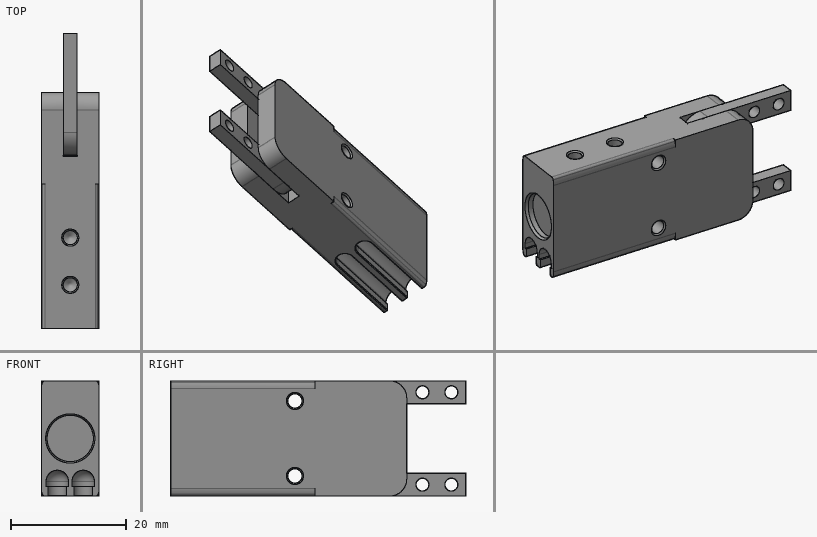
import cadquery as cq
import math

TOTAL_LENGTH = 51.1
WIDTH = 10.0
HEIGHT = 20.0
JAW_REACH = 10.2
HOUSING_LENGTH = TOTAL_LENGTH - JAW_REACH
REAR_Y = -TOTAL_LENGTH / 2
FRONT_Y = REAR_Y + HOUSING_LENGTH
JAW_TIP_Y = TOTAL_LENGTH / 2
FRONT_FILLET = 3.0

EASED_LENGTH = 25.0
EASE_SMALL_RADIUS = 0.5
EASE_WIDE_RADIUS = 3.0
EASE_BLEND_ANGLE = math.radians(20)

RECESS_DIAMETER = 8.0
RECESS_DEPTH = 1.5
RECESS_BEVEL_WIDTH = 0.25
RECESS_BEVEL_DEPTH = 0.5

HOLE_DIAMETER = 2.45
HOLE_CHAMFER = 0.25
SIDE_HOLE_REAR_DISTANCE = 21.5
SIDE_HOLE_Y = REAR_Y + SIDE_HOLE_REAR_DISTANCE
SIDE_HOLE_SPACING = 13.0
PORT_DEPTH = 4.0
PORT_POINT_ANGLE = 118.0
PORT_SPACING = 8.2
PORTS_REAR_DISTANCE = 11.65
PORT_MIDDLE_Y = REAR_Y + PORTS_REAR_DISTANCE

SLOT_OFFSET = 2.25
SLOT_LENGTH = 15.35
SLOT_NECK_WIDTH = 3.15
SLOT_HEAD_WIDTH = 3.9
SLOT_END_CENTRE = SLOT_LENGTH - SLOT_HEAD_WIDTH / 2
SLOT_DOME_START = 2.55
SLOT_SHOULDER = 1.65
SLOT_MOUTH_CHAMFER = 0.15
SLOT_MOUTH_ANGLE = 45.0

JAW_WIDTH = 2.4
JAW_HEIGHT = 4.0
JAW_LENGTH = 21.1
JAW_HOLE_DIAMETER = 2.2
JAW_HOLE_SPACING = 5.0
JAW_HOLE_COUNT = 2
JAW_HOLE_TIP_DISTANCE = 2.5
JAW_SLOT_END_GAP = 0.15


def housing_block():
    block = cq.Workplane("XY").box(WIDTH, HOUSING_LENGTH, HEIGHT)
    block = block.translate((0, (REAR_Y + FRONT_Y) / 2, 0))
    return block.faces(">Y").edges("|X").fillet(FRONT_FILLET)


def corner_waste():
    """Material outside the eased +X +Z edge, over the rear part of the housing."""

    def wide_arc_point(angle):
        return (
            WIDTH / 2 - EASE_WIDE_RADIUS * (1 - math.cos(angle)),
            side_end + EASE_WIDE_RADIUS * math.sin(angle),
        )

    def small_arc_point(angle):
        return (
            top_end + EASE_SMALL_RADIUS * math.cos(angle),
            HEIGHT / 2 - EASE_SMALL_RADIUS * (1 - math.sin(angle)),
        )

    radius_difference = EASE_WIDE_RADIUS - EASE_SMALL_RADIUS
    top_end = WIDTH / 2 - EASE_WIDE_RADIUS + radius_difference * math.cos(EASE_BLEND_ANGLE)
    side_end = HEIGHT / 2 - EASE_SMALL_RADIUS - radius_difference * math.sin(EASE_BLEND_ANGLE)
    small_arc_middle = (EASE_BLEND_ANGLE + math.pi / 2) / 2
    return (
        cq.Workplane("XZ", origin=(0, REAR_Y, 0))
        .moveTo(*wide_arc_point(0))
        .threePointArc(wide_arc_point(EASE_BLEND_ANGLE / 2), wide_arc_point(EASE_BLEND_ANGLE))
        .threePointArc(small_arc_point(small_arc_middle), small_arc_point(math.pi / 2))
        .lineTo(WIDTH / 2, HEIGHT / 2)
        .close()
        .extrude(-EASED_LENGTH)
    )


def ease_long_edges(body):
    waste = corner_waste()
    for corner in (waste, waste.mirror("YZ")):
        body = body.cut(corner).cut(corner.mirror("XY"))
    return body


def round_recess():
    return (
        cq.Workplane("XZ", origin=(0, REAR_Y, 0))
        .circle(RECESS_DIAMETER / 2)
        .extrude(-RECESS_DEPTH)
        .union(
            cq.Workplane("XZ", origin=(0, REAR_Y, 0))
            .circle(RECESS_DIAMETER / 2 + RECESS_BEVEL_WIDTH)
            .workplane(offset=-RECESS_BEVEL_DEPTH)
            .circle(RECESS_DIAMETER / 2)
            .loft()
        )
    )


def side_hole(z):
    """Hole through the full width, chamfered at both sides."""
    radius = HOLE_DIAMETER / 2
    mouth_radius = radius + HOLE_CHAMFER
    half_width = WIDTH / 2
    chamfer_end = half_width - HOLE_CHAMFER
    profile = [
        (-half_width, 0),
        (-half_width, mouth_radius),
        (-chamfer_end, radius),
        (chamfer_end, radius),
        (half_width, mouth_radius),
        (half_width, 0),
    ]
    hole = cq.Workplane("XY").polyline(profile).close().revolve(360, (0, 0, 0), (1, 0, 0))
    return hole.translate((0, SIDE_HOLE_Y, z))


def port_hole(y):
    """Blind hole from the top with a chamfered mouth and a drill point."""
    radius = HOLE_DIAMETER / 2
    point_length = radius / math.tan(math.radians(PORT_POINT_ANGLE / 2))
    profile = [
        (0, 0),
        (radius + HOLE_CHAMFER, 0),
        (radius, -HOLE_CHAMFER),
        (radius, -PORT_DEPTH),
        (0, -PORT_DEPTH - point_length),
    ]
    hole = cq.Workplane("XZ").polyline(profile).close().revolve(360, (0, 0, 0), (0, 1, 0))
    return hole.translate((0, y, HEIGHT / 2))


def round_ended_channel(width, height, taper=0):
    """Channel with rounded ends that reaches as far behind the origin as in front of it."""
    overall_length = 2 * SLOT_END_CENTRE + width
    return cq.Workplane("XY").slot2D(overall_length, width, 90).extrude(height, taper=taper)


def sensor_slot(x):
    """Slot with a domed head over a narrower neck, open at the rear and rounded at its far end."""
    radius = SLOT_HEAD_WIDTH / 2
    bar = cq.Workplane("XZ").circle(radius).extrude(-SLOT_END_CENTRE)
    ball = cq.Workplane("XY").sphere(radius).translate((0, SLOT_END_CENTRE, 0))
    below_dome = cq.Workplane("XY").box(
        2 * SLOT_HEAD_WIDTH, 2 * SLOT_LENGTH, SLOT_HEAD_WIDTH, centered=(True, True, False)
    )
    dome = bar.union(ball).cut(below_dome.translate((0, 0, -SLOT_HEAD_WIDTH)))
    head = round_ended_channel(SLOT_HEAD_WIDTH, SLOT_DOME_START - SLOT_SHOULDER)
    neck = round_ended_channel(SLOT_NECK_WIDTH, SLOT_SHOULDER)
    mouth_width = SLOT_NECK_WIDTH + 2 * SLOT_MOUTH_CHAMFER
    mouth = round_ended_channel(mouth_width, SLOT_MOUTH_CHAMFER, SLOT_MOUTH_ANGLE)
    slot = (
        dome.translate((0, 0, SLOT_DOME_START))
        .union(head.translate((0, 0, SLOT_SHOULDER)))
        .union(neck)
        .union(mouth)
    )
    return slot.translate((x, REAR_Y, -HEIGHT / 2))


def jaw_slot():
    """Slot through the housing's height that holds both jaws, a little longer than they are."""
    slot_length = JAW_LENGTH + JAW_SLOT_END_GAP
    slot = cq.Workplane("XY").box(JAW_WIDTH, slot_length, HEIGHT)
    return slot.translate((0, JAW_TIP_Y - slot_length / 2, 0))


def upper_jaw():
    """Bar with a rounded rear end and two cross holes near its tip."""
    round_start = JAW_TIP_Y - JAW_LENGTH + JAW_HEIGHT
    top = HEIGHT / 2
    bottom = top - JAW_HEIGHT
    diagonal = JAW_HEIGHT * math.sqrt(0.5)
    jaw = (
        cq.Workplane("YZ")
        .moveTo(JAW_TIP_Y, bottom)
        .lineTo(JAW_TIP_Y, top)
        .lineTo(round_start, top)
        .threePointArc((round_start - diagonal, bottom + diagonal), (round_start - JAW_HEIGHT, bottom))
        .close()
        .extrude(JAW_WIDTH / 2, both=True)
    )
    for index in range(JAW_HOLE_COUNT):
        hole_y = JAW_TIP_Y - JAW_HOLE_TIP_DISTANCE - index * JAW_HOLE_SPACING
        hole = (
            cq.Workplane("YZ")
            .center(hole_y, (top + bottom) / 2)
            .circle(JAW_HOLE_DIAMETER / 2)
            .extrude(JAW_WIDTH / 2, both=True)
        )
        jaw = jaw.cut(hole)
    return jaw


def build_housing():
    body = ease_long_edges(housing_block()).cut(round_recess())
    for side in (-1, 1):
        body = body.cut(side_hole(side * SIDE_HOLE_SPACING / 2))
        body = body.cut(port_hole(PORT_MIDDLE_Y + side * PORT_SPACING / 2))
        body = body.cut(sensor_slot(side * SLOT_OFFSET))
    return body.cut(jaw_slot())


housing = build_housing()

jaws = []
for flipped in (False, True):
    jaw = upper_jaw()
    if flipped:
        jaw = jaw.mirror("XY")
    jaws.append(jaw.val())

result = cq.Compound.makeCompound([housing.val(), *jaws])